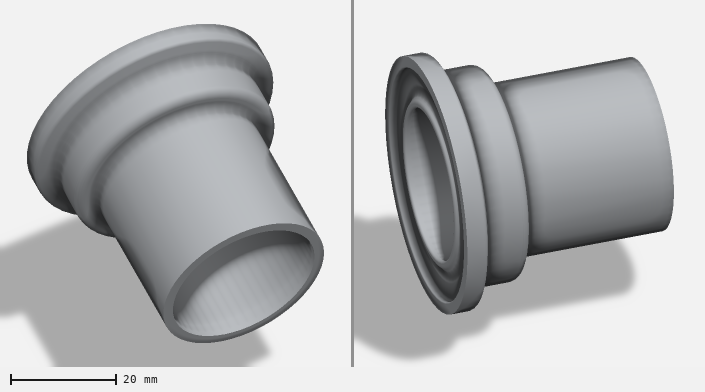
import cadquery as cq
import math

length = 44.0
flange_radius = 50.0 / 2
hub_radius = 42.0 / 2
tube_radius = 33.7 / 2
bore_radius = 29.7 / 2

flange_back_x = 4.05
flange_back_angle = math.radians(20)
flange_edge_fillet = 0.75
flange_root_fillet = 2.0
hub_end_x = 14.05
hub_edge_fillet = 1.6
tube_root_fillet = 1.5

recess_radius = 45.4 / 2
recess_depth = 1.5
recess_edge_fillet = 0.25
recess_root_fillet = 0.45

groove_center_radius = 18.15
groove_arc_radius = 2.25
groove_outer_angle = math.radians(21)
groove_inner_angle = math.radians(52)
groove_edge_fillet = 0.95
lip_outer_fillet = 0.9
lip_inner_fillet = 0.45


def arc_point(center, radius, angle):
    """Point on an arc; the angle turns from +X towards larger radius."""
    return (center[0] + radius * math.cos(angle), center[1] + radius * math.sin(angle))


def add_arc(path, center, radius, start, end):
    """Continue the profile with an arc, joined by a straight line if needed."""
    return (
        path.lineTo(*arc_point(center, radius, start))
        .threePointArc(
            arc_point(center, radius, (start + end) / 2),
            arc_point(center, radius, end),
        )
    )


quarter = math.pi / 2

edge_tangent_length = flange_edge_fillet * math.tan((quarter - flange_back_angle) / 2)
flange_edge = (flange_back_x - edge_tangent_length, flange_radius - flange_edge_fillet)
cone_end_x = flange_back_x + (flange_radius - hub_radius) * math.tan(flange_back_angle)
root_tangent_length = flange_root_fillet * math.tan((quarter - flange_back_angle) / 2)
flange_root = (cone_end_x + root_tangent_length, hub_radius + flange_root_fillet)
hub_edge = (hub_end_x - hub_edge_fillet, hub_radius - hub_edge_fillet)
tube_root = (hub_end_x + tube_root_fillet, tube_radius + tube_root_fillet)

recess_edge = (recess_edge_fillet, recess_radius + recess_edge_fillet)
recess_root = (recess_depth - recess_root_fillet, recess_radius - recess_root_fillet)
groove_edge_x = recess_depth + groove_edge_fillet
groove_reach = groove_arc_radius + groove_edge_fillet
groove_x = groove_edge_x - groove_reach * math.cos(groove_outer_angle)
groove = (groove_x, groove_center_radius)
groove_edge = (
    groove_edge_x,
    groove_center_radius + groove_reach * math.sin(groove_outer_angle),
)
lip_reach = groove_arc_radius + lip_outer_fillet
lip_outer = (
    groove_x + lip_reach * math.cos(groove_inner_angle),
    groove_center_radius - lip_reach * math.sin(groove_inner_angle),
)
lip_face_x = lip_outer[0] - lip_outer_fillet
lip_inner = (lip_face_x + lip_inner_fillet, bore_radius + lip_inner_fillet)

profile = cq.Workplane("XY").moveTo(0, flange_radius)
profile = add_arc(profile, flange_edge, flange_edge_fillet, quarter, flange_back_angle)
profile = add_arc(
    profile, flange_root, flange_root_fillet, math.pi + flange_back_angle, 3 * quarter
)
profile = add_arc(profile, hub_edge, hub_edge_fillet, quarter, 0)
profile = add_arc(profile, tube_root, tube_root_fillet, math.pi, 3 * quarter)
profile = profile.lineTo(length, tube_radius).lineTo(length, bore_radius)

profile = add_arc(profile, lip_inner, lip_inner_fillet, 3 * quarter, math.pi)
profile = add_arc(profile, lip_outer, lip_outer_fillet, math.pi, math.pi - groove_inner_angle)
profile = profile.threePointArc(
    arc_point(groove, groove_arc_radius, 0),
    arc_point(groove, groove_arc_radius, groove_outer_angle),
).threePointArc(
    arc_point(groove_edge, groove_edge_fillet, math.pi + groove_outer_angle / 2),
    arc_point(groove_edge, groove_edge_fillet, math.pi),
)
profile = add_arc(profile, recess_root, recess_root_fillet, 0, quarter)
profile = add_arc(profile, recess_edge, recess_edge_fillet, 3 * quarter, math.pi)

result = profile.close().revolve(360, (0, 0, 0), (1, 0, 0))